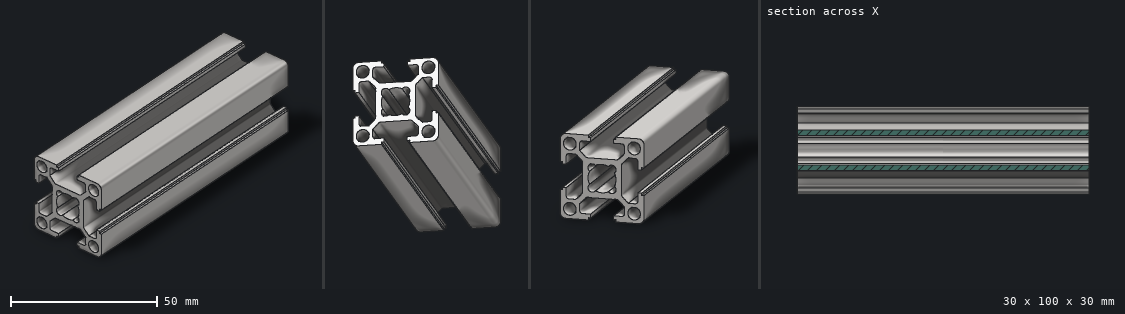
import cadquery as cq
import math


side = 30.0
length = 100.0
corner_radius = 2.0
side_count = 4

bore_diameter = 10.0
lobe_diameter = 3.0
lobe_offset = (bore_diameter - lobe_diameter) / 2

corner_hole_diameter = 4.5
corner_hole_offset = 11.5

wall_thickness = 2.0

throat_width = 8.2
mouth_step = 0.8
lip_thickness = 2.2
cavity_width = 16.0
cavity_corner_radius = 1.0

half_side = side / 2
half_throat = throat_width / 2
half_cavity = cavity_width / 2

mouth_z = half_side - mouth_step
lip_z = half_side - lip_thickness
floor_z = bore_diameter / 2 + wall_thickness

slant_rise = wall_thickness / math.sqrt(2)
half_floor = floor_z - slant_rise
slant_top_z = half_cavity + slant_rise


def section():
    return cq.Workplane("XZ")


def bar(sketch):
    """Extrude a cross-section over the full length, centred on Y = 0."""
    return sketch.extrude(length / 2, both=True)


def four_round_bars(offset, diameter):
    """Full-length cutters at the corners of a square around the centre."""
    centers = section().rect(2 * offset, 2 * offset, forConstruction=True).vertices()
    return bar(centers.circle(diameter / 2))


def t_slot():
    """Cutter for the slot in the top (+Z) face."""
    right_half = [
        (half_throat + mouth_step, half_side),
        (half_throat + mouth_step, mouth_z),
        (half_throat, mouth_z),
        (half_throat, lip_z),
        (half_cavity, lip_z),
        (half_cavity, slant_top_z),
        (half_floor, floor_z),
    ]
    left_half = [(-x, z) for x, z in reversed(right_half)]
    slot = bar(section().polyline(right_half + left_half).close())

    for half_width, z in ((half_cavity, lip_z), (half_floor, floor_z)):
        for x in (-half_width, half_width):
            corner_edge = cq.NearestToPointSelector((x, 0, z))
            slot = slot.edges(corner_edge).fillet(cavity_corner_radius)
    return slot


profile = bar(section().rect(side, side)).edges("|Y").fillet(corner_radius)

slot_cutter = t_slot()
for i in range(side_count):
    profile = profile.cut(slot_cutter.rotate((0, 0, 0), (0, 1, 0), i * 360 / side_count))

profile = profile.cut(four_round_bars(corner_hole_offset, corner_hole_diameter))
profile = profile.cut(bar(section().circle(bore_diameter / 2)))
profile = profile.cut(four_round_bars(lobe_offset, lobe_diameter))

result = profile